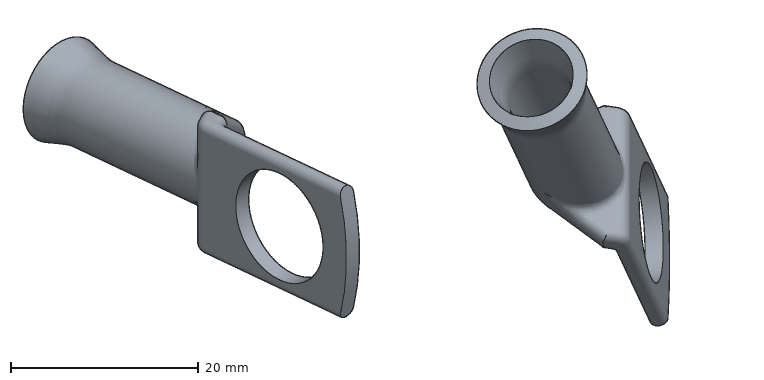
import cadquery as cq
import math


tube_radius = 5.0
bore_radius = 3.5
wall = tube_radius - bore_radius

mouth_radius = 6.0
flare_angle = math.radians(15)
flare_bend_radius = 6.2

length = 48.0
palm_width = 16.0
palm_half = palm_width / 2
palm_thickness = 2.0
palm_bottom = -5.4
palm_top = palm_bottom + palm_thickness
palm_end_radius = 28.5
hole_radius = 6.5
hole_to_end = 10.0
hole_x = length - hole_to_end

slope_angle = math.radians(60)
flank_angle = math.radians(35.5)
flank_inset = 0.03
flank_distance = tube_radius - flank_inset
upper_corner_x = 27.85
lower_corner_x = 25.5

upper_bend_radius = 1.0
lower_bend_radius = 2.0
root_radius = 1.0
edge_radius = 0.99

clearance = 1.0
strip_overrun = 4.0
tolerance = 0.01


def upper_slope_x(y):
    """X of the shoulder's upper sloping plane at height y."""
    return upper_corner_x - (y - palm_top) / math.tan(slope_angle)


def lower_slope_x(y):
    """X of the shoulder's lower sloping plane at height y."""
    return lower_corner_x - (y - palm_bottom) / math.tan(slope_angle)


def round_edges(body, is_wanted, radius):
    """Fillet every edge of the body that passes the given test."""
    edges = [edge for edge in body.edges().vals() if is_wanted(edge)]
    return body.newObject(edges).fillet(radius)


def is_cross_edge_at(x, y):
    """Test for an edge across the palm width at the given X and Y."""
    def test(edge):
        box = edge.BoundingBox()
        spans_width = box.zlen > palm_width - tolerance
        return spans_width and math.hypot(edge.Center().x - x, edge.Center().y - y) < tolerance
    return test


def bent_strip():
    """Strip of full palm width: sloping shoulder, bend and palm."""
    above = tube_radius + strip_overrun
    strip = (
        cq.Workplane("XY")
        .moveTo(lower_slope_x(above), above)
        .lineTo(lower_corner_x, palm_bottom)
        .lineTo(length, palm_bottom)
        .lineTo(length, palm_top)
        .lineTo(upper_corner_x, palm_top)
        .lineTo(upper_slope_x(above), above)
        .close()
        .extrude(palm_half, both=True)
    )
    strip = round_edges(strip, is_cross_edge_at(upper_corner_x, palm_top), upper_bend_radius)
    return round_edges(strip, is_cross_edge_at(lower_corner_x, palm_bottom), lower_bend_radius)


def flare_profile():
    """Points (x, r) of the flare: outer and inner lip, then both wall surfaces along the bend.

    Each surface is given by the start, the middle and the end of its bend.
    """
    sin_a = math.sin(flare_angle)
    cos_a = math.cos(flare_angle)
    lip_outer = (wall * sin_a, mouth_radius)
    lip_inner = (0.0, mouth_radius - wall * cos_a)
    centre_r = tube_radius + flare_bend_radius
    cone_end_r = centre_r - flare_bend_radius * cos_a
    cone_end_x = lip_outer[0] + (mouth_radius - cone_end_r) / math.tan(flare_angle)
    centre_x = cone_end_x + flare_bend_radius * sin_a

    def bend_points(radius):
        angles = (flare_angle, flare_angle / 2, 0.0)
        return [(centre_x - radius * math.sin(a), centre_r - radius * math.cos(a)) for a in angles]

    return lip_outer, lip_inner, bend_points(flare_bend_radius), bend_points(flare_bend_radius + wall)


def tube_start_x():
    """X where the flare ends and the straight tube begins."""
    outer_bend = flare_profile()[2]
    return outer_bend[-1][0]


def flare():
    """Ring of flared wall around the open funnel, up to the end of the bend."""
    lip_outer, lip_inner, outer, inner = flare_profile()
    profile = (
        cq.Workplane("XY")
        .moveTo(*lip_inner)
        .lineTo(*inner[0])
        .threePointArc(inner[1], inner[2])
        .lineTo(*outer[2])
        .threePointArc(outer[1], outer[0])
        .lineTo(*lip_outer)
        .close()
    )
    return profile.revolve(360, (0, 0, 0), (1, 0, 0))


def bore():
    """Straight bore that ends on the shoulder's lower sloping plane."""
    start = tube_start_x()
    envelope = (
        cq.Workplane("XY")
        .moveTo(start, bore_radius)
        .lineTo(lower_slope_x(bore_radius), bore_radius)
        .lineTo(lower_slope_x(-bore_radius), -bore_radius)
        .lineTo(start, -bore_radius)
        .close()
        .extrude(bore_radius, both=True)
    )
    return cq.Workplane("YZ").circle(bore_radius).extrude(length).intersect(envelope)


def straight_tube():
    """Solid straight tube, starting behind the flare and ending inside the strip."""
    start = tube_start_x()
    above = tube_radius + clearance
    envelope = (
        cq.Workplane("XY")
        .moveTo(start, above)
        .lineTo(upper_slope_x(above) - clearance, above)
        .lineTo(upper_slope_x(-above) - clearance, -above)
        .lineTo(start, -above)
        .close()
        .extrude(above, both=True)
    )
    return cq.Workplane("YZ").circle(tube_radius).extrude(length).intersect(envelope)


def flanked_section():
    """Prism along X: the tube circle with flanks running out to the palm width."""
    sin_a = math.sin(flank_angle)
    cos_a = math.cos(flank_angle)
    flank_top = (flank_distance * sin_a, flank_distance * cos_a)
    flank_foot = ((flank_distance - palm_half * cos_a) / sin_a, palm_half)
    flanks = (
        cq.Workplane("YZ")
        .moveTo(*flank_top)
        .lineTo(*flank_foot)
        .lineTo(palm_bottom, palm_half)
        .lineTo(palm_bottom, -palm_half)
        .lineTo(flank_foot[0], -flank_foot[1])
        .lineTo(flank_top[0], -flank_top[1])
        .close()
        .extrude(length)
    )
    return flanks.union(cq.Workplane("YZ").circle(tube_radius).extrude(length))


def is_root_edge(edge):
    """Edge where the tube enters the lower side of the strip."""
    box = edge.BoundingBox()
    beyond_flare = box.xmin > lower_slope_x(tube_radius) - tolerance
    within_tube = max(abs(box.zmin), abs(box.zmax)) < tube_radius + tolerance
    return edge.geomType() != "LINE" and beyond_flare and within_tube


def is_lower_flank_edge(edge):
    """Straight edge between a flank and the lower sloping plane."""
    centre = edge.Center()
    on_plane = abs(centre.x - lower_slope_x(centre.y)) < tolerance
    on_flank = tube_radius < abs(centre.z) < palm_half - tolerance
    return edge.geomType() == "LINE" and on_plane and on_flank


def is_palm_side_edge(edge):
    """Lengthwise edge of the palm, including the ends of both bends."""
    centre = edge.Center()
    at_side = abs(abs(centre.z) - palm_half) < tolerance
    on_bottom = abs(centre.y - palm_bottom) < tolerance
    on_top = centre.y < palm_top + tolerance and centre.x > upper_corner_x
    return at_side and (on_bottom or on_top)


def is_upper_slope_edge(edge):
    """Edge of the upper sloping plane on a flank or on the tube."""
    box = edge.BoundingBox()
    centre = edge.Center()
    bend_top = palm_top + upper_bend_radius * (1 - math.cos(slope_angle))
    along_flank = box.zlen > tolerance and abs(centre.x - upper_slope_x(centre.y)) < tolerance
    return along_flank and box.ymin > bend_top + tolerance


def is_outer_edge(edge):
    """Any edge of the shoulder or palm that is rounded with the edge radius."""
    return is_upper_slope_edge(edge) or is_lower_flank_edge(edge) or is_palm_side_edge(edge)


def palm_end_trim():
    """Large disc whose rim forms the curved end of the palm."""
    centre_x = length - palm_end_radius
    return cq.Workplane("XZ").center(centre_x, 0).circle(palm_end_radius).extrude(palm_width, both=True)


def bolt_hole():
    """Plug that opens the bolt hole through the palm."""
    return cq.Workplane("XZ").center(hole_x, 0).circle(hole_radius).extrude(palm_width, both=True)


lug = bent_strip().union(straight_tube())
lug = round_edges(lug, is_root_edge, root_radius)
lug = lug.intersect(flanked_section())
lug = round_edges(lug, is_outer_edge, edge_radius)
lug = lug.intersect(palm_end_trim()).cut(bolt_hole()).cut(bore())
result = lug.union(flare())